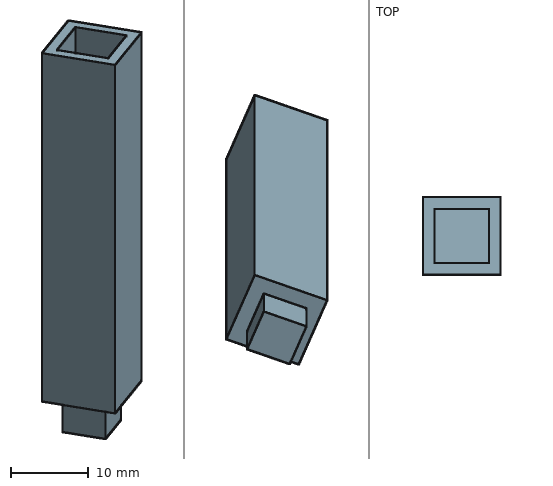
import cadquery as cq

total_height = 55.0
body_width = 10.0
stub_height = 5.0
stub_width = 5.9
bore_width = 7.0

body_height = total_height - stub_height
wall = (body_width - bore_width) / 2
bore_depth = body_height - wall

stub = cq.Workplane("XY").rect(stub_width, stub_width).extrude(stub_height)

body = (
    cq.Workplane("XY")
    .workplane(offset=stub_height)
    .rect(body_width, body_width)
    .extrude(body_height)
)
bore = (
    cq.Workplane("XY")
    .workplane(offset=total_height - bore_depth)
    .rect(bore_width, bore_width)
    .extrude(bore_depth)
)

result = body.cut(bore).union(stub)